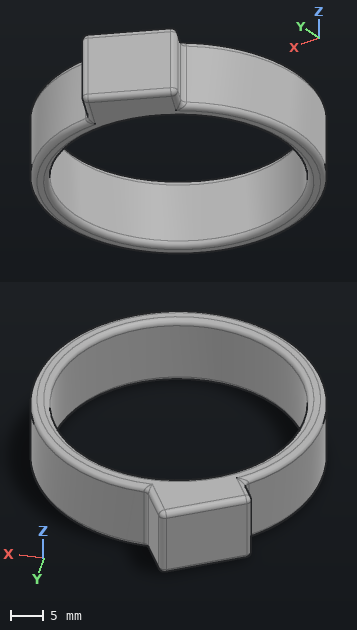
import cadquery as cq
import math

BORE_DIAMETER = 40.0
WALL = 3.0
HEIGHT = 12.0
INNER_RADIUS = BORE_DIAMETER / 2
OUTER_RADIUS = INNER_RADIUS + WALL

BLOCK_TILT = 27.2
BLOCK_WIDTH = 15.0
BLOCK_OFFSET = 3.6
BLOCK_REACH = 27.3
BLOCK_SIDES = (BLOCK_OFFSET - BLOCK_WIDTH / 2, BLOCK_OFFSET + BLOCK_WIDTH / 2)

EDGE_RADIUS = 1.0
ROOT_RADIUS = 1.0
PICK_SIZE = 0.5


def upright_edges(body, x, y):
    """Vertical edges of the body at a point given before the block is tilted."""
    tilt = math.radians(BLOCK_TILT)
    center_x = x * math.cos(tilt) - y * math.sin(tilt)
    center_y = x * math.sin(tilt) + y * math.cos(tilt)
    half = PICK_SIZE / 2
    picker = cq.selectors.BoxSelector(
        (center_x - half, center_y - half, 0),
        (center_x + half, center_y + half, HEIGHT),
    )
    return body.edges("|Z").edges(picker)


def make_blank():
    """Sharp-edged disc and tilted block joined, with the bore cut through both."""
    disc = cq.Workplane("XY").circle(OUTER_RADIUS).extrude(HEIGHT)
    block = (
        cq.Workplane("XY")
        .center(BLOCK_OFFSET, BLOCK_REACH / 2)
        .rect(BLOCK_WIDTH, BLOCK_REACH)
        .extrude(HEIGHT)
        .rotate((0, 0, 0), (0, 0, 1), BLOCK_TILT)
    )
    bore = cq.Workplane("XY").circle(INNER_RADIUS).extrude(HEIGHT)
    return disc.union(block).cut(bore)


def round_outer_edges(body):
    """Round both rims, inside and outside, and the block's two upright corners."""
    edges = body.edges("not |Z")
    for x in BLOCK_SIDES:
        edges = edges.add(upright_edges(body, x, BLOCK_REACH))
    return edges.fillet(EDGE_RADIUS)


def blend_block_roots(body):
    """Blend the inside corners between the block's sides and the rounded ring."""
    for x in BLOCK_SIDES:
        root_y = math.sqrt(OUTER_RADIUS**2 - x**2)
        body = upright_edges(body, x, root_y).fillet(ROOT_RADIUS)
    return body


def make_ring():
    """Clamp ring with its block as one solid."""
    return blend_block_roots(round_outer_edges(make_blank()))


ring = make_ring()

result = cq.Compound.makeCompound([ring.val()])